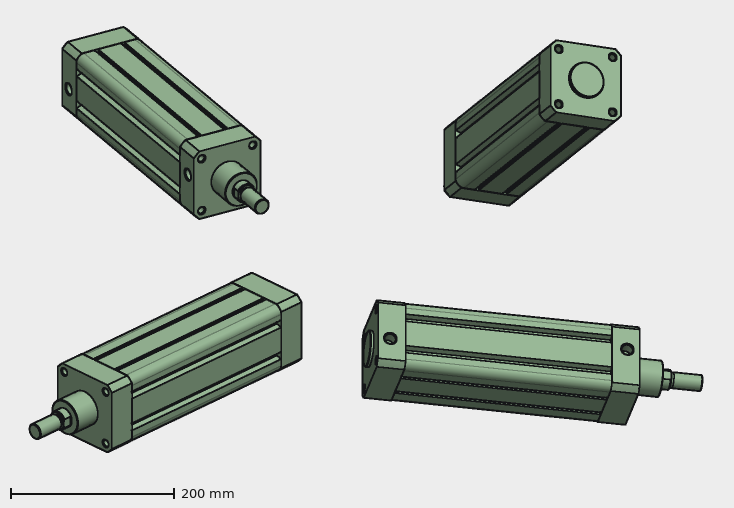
import cadquery as cq

TOTAL_LENGTH = 418.0
REAR_SPIGOT_LENGTH = 4.0
CAP_LENGTH = 34.5
CAPS_END = 331.5
FRONT_SPIGOT_END = 366.0
SHOULDER_END = 378.5

REAR_CAP_START = REAR_SPIGOT_LENGTH
BARREL_START = REAR_CAP_START + CAP_LENGTH
FRONT_CAP_START = CAPS_END - CAP_LENGTH
BARREL_LENGTH = FRONT_CAP_START - BARREL_START

CAP_SIZE = 94.0
CAP_TURNED_DIAMETER = 122.5
SPIGOT_DIAMETER = 45.0
SPIGOT_CHAMFER = 1.0
SCREW_HOLE_OFFSET = 36.0
SCREW_HOLE_DIAMETER = 8.5
SCREW_HOLE_DEPTH = 16.7
SCREW_COUNTERSINK = 1.3
PORT_DIAMETER = 14.0
PORT_DEPTH = 16.7
PORT_COUNTERSINK = 1.3
PORT_SETBACK = 15.5
PORT_HEIGHT = 9.5

BARREL_SIZE = 93.0
BARREL_CORNER_RADIUS = 10.5
SIDE_GROOVE_OFFSET = 22.0
SIDE_GROOVE_MOUTH = 10.0
SIDE_GROOVE_FLOOR = 5.0
SIDE_GROOVE_DEPTH = 7.0
TOP_SLOT_OFFSET = 18.5
TOP_SLOT_WIDTH = 5.0
TOP_SLOT_LIP = 2.5
TOP_SLOT_INNER_WIDTH = 10.0
TOP_SLOT_INNER_DEPTH = 5.0

ROD_DIAMETER = 25.0
ROD_CHAMFER = 1.3
WRENCH_WIDTH = 22.0
WRENCH_FLAT_START = FRONT_SPIGOT_END + 1.5
THREAD_DIAMETER = 20.0
THREAD_CHAMFER = 1.0
NECK_LENGTH = 3.5
NECK_DIAMETER = 16.7
THREAD_START = SHOULDER_END + NECK_LENGTH


def cylinder_x(start, length, diameter):
    """Round bar along the X axis, starting at the given X."""
    return cq.Workplane("YZ", origin=(start, 0, 0)).circle(diameter / 2).extrude(length)


def countersink_cone(origin, direction, diameter, size):
    """45 degree countersink that narrows to the given diameter."""
    radius = diameter / 2
    cone = cq.Solid.makeCone(radius + size, radius, size, cq.Vector(*origin), cq.Vector(*direction))
    return cq.Workplane(cone)


def countersunk_hole(origin, direction, diameter, depth, countersink):
    """Blind hole tool entering at the origin along the direction."""
    bore = cq.Solid.makeCylinder(diameter / 2, depth, cq.Vector(*origin), cq.Vector(*direction))
    return cq.Workplane(bore).union(countersink_cone(origin, direction, diameter, countersink))


def make_cap(start, outer_face, inward, port_height):
    """Square end cap with turned corners, four screw holes and one air port."""
    cap = cq.Workplane("YZ", origin=(start, 0, 0)).rect(CAP_SIZE, CAP_SIZE).extrude(CAP_LENGTH)
    cap = cap.intersect(cylinder_x(start, CAP_LENGTH, CAP_TURNED_DIAMETER))
    for y in (-SCREW_HOLE_OFFSET, SCREW_HOLE_OFFSET):
        for z in (-SCREW_HOLE_OFFSET, SCREW_HOLE_OFFSET):
            cap = cap.cut(countersunk_hole((outer_face, y, z), (inward, 0, 0), SCREW_HOLE_DIAMETER,
                                           SCREW_HOLE_DEPTH, SCREW_COUNTERSINK))
    port_origin = (outer_face + inward * PORT_SETBACK, -CAP_SIZE / 2, port_height)
    return cap.cut(countersunk_hole(port_origin, (0, 1, 0), PORT_DIAMETER, PORT_DEPTH, PORT_COUNTERSINK))


def make_rear_cap():
    cap = make_cap(REAR_CAP_START, REAR_CAP_START, 1, -PORT_HEIGHT)
    spigot = cylinder_x(0, REAR_SPIGOT_LENGTH, SPIGOT_DIAMETER)
    return cap.union(spigot.faces("<X").edges().chamfer(SPIGOT_CHAMFER))


def make_front_cap():
    """Front cap with the long spigot that guides the rod."""
    cap = make_cap(FRONT_CAP_START, CAPS_END, -1, PORT_HEIGHT)
    spigot = cylinder_x(CAPS_END, FRONT_SPIGOT_END - CAPS_END, SPIGOT_DIAMETER)
    spigot = spigot.faces(">X").edges().chamfer(SPIGOT_CHAMFER)
    rod_bore = cylinder_x(FRONT_CAP_START, FRONT_SPIGOT_END - FRONT_CAP_START, ROD_DIAMETER)
    return cap.union(spigot).cut(rod_bore)


def bar_x(y, z, width, height):
    """Rectangular bar centred on (y, z) that runs the length of the barrel."""
    return cq.Workplane("YZ", origin=(BARREL_START, y, z)).rect(width, height).extrude(BARREL_LENGTH)


def make_barrel():
    """Extruded profile: tapered grooves on both sides, T-slots on top and bottom."""
    profile_plane = cq.Workplane("YZ", origin=(BARREL_START, 0, 0))
    half = BARREL_SIZE / 2
    barrel = profile_plane.rect(BARREL_SIZE, BARREL_SIZE).extrude(BARREL_LENGTH)
    barrel = barrel.edges("|X").fillet(BARREL_CORNER_RADIUS)
    for side in (-1, 1):
        face = side * half
        floor = side * (half - SIDE_GROOVE_DEPTH)
        for z in (-SIDE_GROOVE_OFFSET, SIDE_GROOVE_OFFSET):
            groove = profile_plane.polyline([
                (face, z - SIDE_GROOVE_MOUTH / 2),
                (floor, z - SIDE_GROOVE_FLOOR / 2),
                (floor, z + SIDE_GROOVE_FLOOR / 2),
                (face, z + SIDE_GROOVE_MOUTH / 2),
            ]).close().extrude(BARREL_LENGTH)
            barrel = barrel.cut(groove)
        for y in (-TOP_SLOT_OFFSET, TOP_SLOT_OFFSET):
            mouth_z = side * (half - TOP_SLOT_LIP / 2)
            inner_z = side * (half - TOP_SLOT_LIP - TOP_SLOT_INNER_DEPTH / 2)
            barrel = barrel.cut(bar_x(y, mouth_z, TOP_SLOT_WIDTH, TOP_SLOT_LIP))
            barrel = barrel.cut(bar_x(y, inner_z, TOP_SLOT_INNER_WIDTH, TOP_SLOT_INNER_DEPTH))
    return barrel


def make_rod():
    """Rod with two wrench flats, a short tapered neck and a plain round end for the thread."""
    rod = cylinder_x(FRONT_CAP_START, SHOULDER_END - FRONT_CAP_START, ROD_DIAMETER)
    rod = rod.faces(">X").edges().chamfer(ROD_CHAMFER)
    flat_length = SHOULDER_END - WRENCH_FLAT_START
    flat_depth = (ROD_DIAMETER - WRENCH_WIDTH) / 2
    for side in (-1, 1):
        flat = cq.Workplane("XY").box(flat_length, flat_depth, ROD_DIAMETER, centered=(False, True, True))
        rod = rod.cut(flat.translate((WRENCH_FLAT_START, side * (WRENCH_WIDTH + flat_depth) / 2, 0)))
    thread = cylinder_x(THREAD_START, TOTAL_LENGTH - THREAD_START, THREAD_DIAMETER)
    thread = thread.faces(">X").edges().chamfer(THREAD_CHAMFER)
    neck = cq.Solid.makeCone(NECK_DIAMETER / 2, THREAD_DIAMETER / 2, NECK_LENGTH,
                             cq.Vector(SHOULDER_END, 0, 0), cq.Vector(1, 0, 0))
    return rod.union(thread).union(cq.Workplane(neck))


rear_cap = make_rear_cap()
barrel = make_barrel()
front_cap = make_front_cap()
rod = make_rod()

result = cq.Compound.makeCompound([rear_cap.val(), barrel.val(), front_cap.val(), rod.val()])